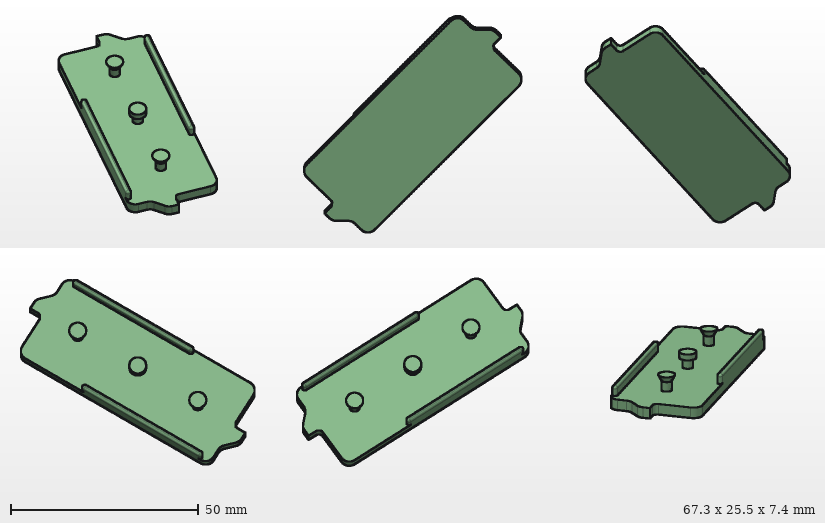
import cadquery as cq

overall_length = 67.3
plate_length = 59.9
plate_width = 25.45
plate_thickness = 3.0
corner_radius = 2.5

tab_tip_width = 2.95
tab_root_width = 6.7
tab_bend_radius = 2.5
tab_inner_radius = 1.3

rail_length = 37.5
rail_width = 1.5
rail_top = 5.7
rail_round = 0.7
rail_end_x = 27.45

overall_height = 7.4
pin_spacing = 18.8
shank_diameter = 2.8
head_diameter = 4.6
head_height = 1.7


def half_turn(shape):
    """Rotate a shape to the diagonally opposite place on the plate."""
    return shape.rotate((0, 0, 0), (0, 0, 1), 180)


def make_plate():
    body_x = plate_length / 2
    tip_x = overall_length / 2
    body_y = plate_width / 2
    left_tab = [
        (-body_x, 0),
        (-tip_x, 0),
        (-tip_x, tab_tip_width),
        (-body_x, tab_root_width),
    ]
    left_side = [(-body_x, -body_y)] + left_tab + [(-body_x, body_y)]
    right_side = [(-x, -y) for x, y in left_side]
    plate = cq.Workplane("XY").polyline(left_side + right_side).close().extrude(plate_thickness)

    def round_edges(solid, points, radius):
        """Round the vertical edges at the given points and their half-turn partners."""
        mid_z = plate_thickness / 2
        for x, y in points:
            for sign in (1, -1):
                nearest = cq.selectors.NearestToPointSelector((sign * x, sign * y, mid_z))
                solid = solid.edges("|Z").edges(nearest).fillet(radius)
        return solid

    tab_root, _, tip_bend, slope_root = left_tab
    plate = round_edges(plate, [left_side[0], left_side[-1]], corner_radius)
    plate = round_edges(plate, [tip_bend, slope_root], tab_bend_radius)
    return round_edges(plate, [tab_root], tab_inner_radius)


def make_rear_rail():
    """Round-ended rail with a rounded top, flush with the rear edge of the plate."""
    return (
        cq.Workplane("XY")
        .center(rail_length / 2 - rail_end_x, (plate_width - rail_width) / 2)
        .slot2D(rail_length, rail_width)
        .extrude(rail_top)
        .faces(">Z")
        .edges()
        .fillet(rail_round)
    )


def make_pin(x, head_base_diameter):
    """Pin whose head widens from the given base diameter to the head diameter."""
    head_base = overall_height - head_height
    profile = [
        (0, 0),
        (shank_diameter / 2, 0),
        (shank_diameter / 2, head_base),
        (head_diameter / 2, overall_height),
        (0, overall_height),
    ]
    if head_base_diameter > shank_diameter:
        profile.insert(3, (head_base_diameter / 2, head_base))
    pin = cq.Workplane("XZ").polyline(profile).close().revolve(360, (0, 0), (0, 1))
    return pin.translate((x, 0, 0))


rear_rail = make_rear_rail()
result = make_plate().union(rear_rail).union(half_turn(rear_rail))

result = result.union(make_pin(0, head_diameter))
for pin_x in (-pin_spacing, pin_spacing):
    result = result.union(make_pin(pin_x, shank_diameter))